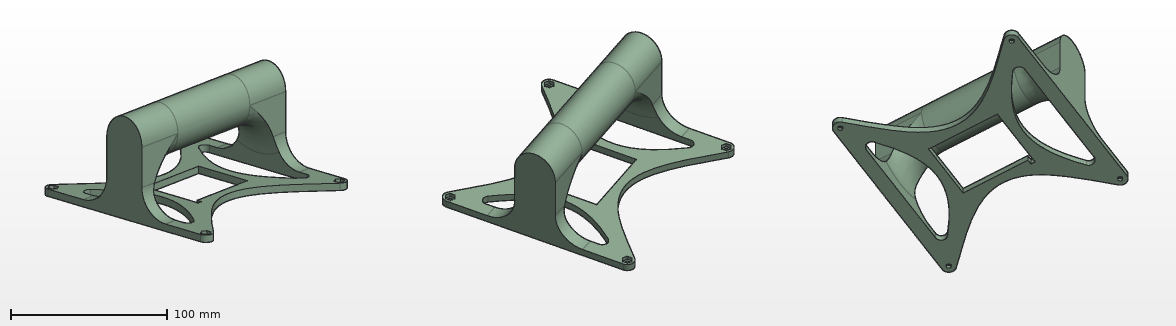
import cadquery as cq
import math

side = 140.0
height = 70.0
half_side = side / 2

plate_thickness = 5.0
corner_radius = 5.0
waist_half_width = 27.5

screw_offset = half_side - corner_radius
screw_diameter = 3.2
nut_across_corners = 7.0
nut_depth = 2.5

wall_thickness = 10.0
wall_inner_y = half_side - wall_thickness
window_half_width = 45.6
window_near_y = 32.9
window_end_radius = 4.2
window_end_run = 5
window_end_rise = 4

opening_width = 41.5
opening_length = 52.1
notch_width = 3.6
notch_length = 3.1

bar_half_width = 15.0
bar_half_height = height / 4
bar_center_z = height - bar_half_height
foot_radius = 20.0
bar_blend_radius = 25.0


def make_plate():
    """Plate with round corners that run at 45 degrees into a curved waist on each side."""
    corner = half_side - corner_radius
    diagonal = corner_radius * math.sqrt(0.5)
    waist_x = corner + diagonal
    waist_y = corner - diagonal
    return (
        cq.Workplane("XY")
        .moveTo(-corner, half_side)
        .lineTo(corner, half_side)
        .threePointArc((half_side, corner), (waist_x, waist_y))
        .spline(
            [(waist_half_width, 0), (waist_x, -waist_y)],
            tangents=[(-1, -1), (0, -1), (1, -1)],
            includeCurrent=True,
        )
        .threePointArc((half_side, -corner), (corner, -half_side))
        .lineTo(-corner, -half_side)
        .threePointArc((-half_side, -corner), (-waist_x, -waist_y))
        .spline(
            [(-waist_half_width, 0), (-waist_x, waist_y)],
            tangents=[(1, 1), (0, 1), (-1, 1)],
            includeCurrent=True,
        )
        .threePointArc((-half_side, corner), (-corner, half_side))
        .close()
        .extrude(plate_thickness)
    )


def make_window():
    """Window cutter bounded by the +Y wall and a curved rib."""
    center_x = window_half_width - window_end_radius
    center_y = wall_inner_y - window_end_radius
    slope_length = math.hypot(window_end_run, window_end_rise)
    tip_x = center_x + window_end_radius * window_end_rise / slope_length
    tip_y = center_y - window_end_radius * window_end_run / slope_length
    return (
        cq.Workplane("XY")
        .moveTo(center_x, wall_inner_y)
        .lineTo(-center_x, wall_inner_y)
        .threePointArc((-window_half_width, center_y), (-tip_x, tip_y))
        .spline(
            [(0, window_near_y), (tip_x, tip_y)],
            tangents=[
                (window_end_run, -window_end_rise),
                (1, 0),
                (window_end_run, window_end_rise),
            ],
            includeCurrent=True,
        )
        .threePointArc((window_half_width, center_y), (center_x, wall_inner_y))
        .close()
        .extrude(plate_thickness)
    )


def make_opening():
    """Rectangular opening cutter, widened by the notch at its +X, -Y corner."""
    opening = cq.Workplane("XY").rect(opening_width, opening_length).extrude(plate_thickness)
    notch = cq.Workplane("XY").box(
        notch_width, notch_length, plate_thickness, centered=False
    )
    return opening.union(notch.translate((opening_width / 2, -opening_length / 2, 0)))


def cut_screw_holes(plate):
    """Through holes with nut pockets sunk from the top face."""
    corners = [(x, y) for x in (-screw_offset, screw_offset) for y in (-screw_offset, screw_offset)]
    holes = cq.Workplane("XY").pushPoints(corners).circle(screw_diameter / 2).extrude(plate_thickness)
    nuts = (
        cq.Workplane("XY", origin=(0, 0, plate_thickness - nut_depth))
        .pushPoints(corners)
        .polygon(6, nut_across_corners)
        .extrude(nut_depth)
    )
    return plate.cut(holes).cut(nuts)


def make_handle_envelope():
    """End profile of the handle, run along the full length of the part."""
    foot_x = bar_half_width + foot_radius
    foot_z = plate_thickness + foot_radius
    profile = (
        cq.Workplane("XZ", origin=(0, half_side, 0))
        .moveTo(-foot_x, 0)
        .lineTo(-foot_x, plate_thickness)
        .radiusArc((-bar_half_width, foot_z), -foot_radius)
        .lineTo(-bar_half_width, bar_center_z)
        .lineTo(bar_half_width, bar_center_z)
        .lineTo(bar_half_width, foot_z)
        .radiusArc((foot_x, plate_thickness), -foot_radius)
        .lineTo(foot_x, 0)
        .close()
        .extrude(side)
    )
    return profile.union(make_bar(side))


def make_bar(length):
    """Elliptical grip bar, centered on the part."""
    return (
        cq.Workplane("XZ", origin=(0, length / 2, bar_center_z))
        .ellipse(bar_half_width, bar_half_height)
        .extrude(length)
    )


def make_handle():
    """Bar blended into oversized end walls, then trimmed to the end profile."""
    wall_size = 2 * side
    walls = cq.Workplane("XY").box(wall_size, side, wall_size)
    gap = cq.Workplane("XY").box(wall_size, 2 * wall_inner_y, wall_size)
    blended = walls.cut(gap).union(make_bar(2 * wall_inner_y))
    blended = blended.edges("%ELLIPSE").fillet(bar_blend_radius)
    return blended.intersect(make_handle_envelope())


window = make_window()
plate = make_plate().cut(window).cut(window.mirror("XZ")).cut(make_opening())
result = cut_screw_holes(plate).union(make_handle())